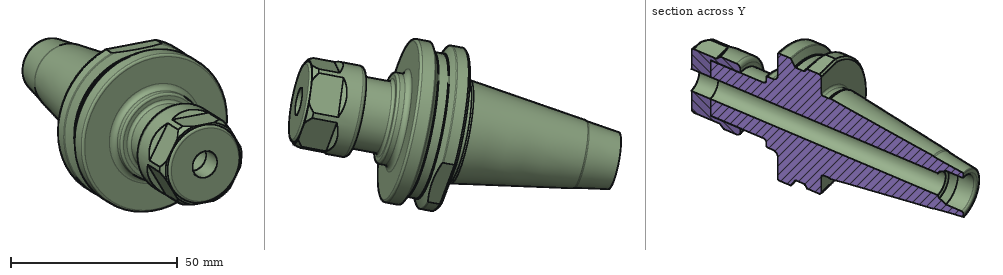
import cadquery as cq
import math


LENGTH = 97.8
TOLERANCE = 0.0001

TAPER_SLOPE = 3.5 / 24
REAR_RADIUS = 17.4 / 2
REAR_EDGE_FILLET = 0.3
PILOT_END_X = 10.5
TAPER_START_X = 11.0
TAPER_START_RADIUS = 20.9 / 2
TAPER_END_X = 47.7
RELIEF_START_X = 48.3
RELIEF_RADIUS = 31.2 / 2
RELIEF_FILLET = 0.8

FLANGE_RADIUS = 50.0 / 2
FLANGE_REAR_X = 51.1
FLANGE_FRONT_X = 66.9
FLANGE_REAR_CHAMFER = 0.7
FLANGE_FRONT_FILLET = 0.8
GROOVE_RADIUS = 44.3 / 2
GROOVE_BOTTOM_START_X = 57.1
GROOVE_BOTTOM_END_X = 60.4
GROOVE_WALL_ANGLE = 30
GROOVE_EDGE_FILLET = 0.4
GROOVE_DEPTH = FLANGE_RADIUS - GROOVE_RADIUS
GROOVE_WALL_LENGTH = GROOVE_DEPTH * math.tan(math.radians(GROOVE_WALL_ANGLE))
GROOVE_REAR_X = GROOVE_BOTTOM_START_X - GROOVE_WALL_LENGTH
GROOVE_FRONT_X = GROOVE_BOTTOM_END_X + GROOVE_WALL_LENGTH
FLAT_HEIGHT = 23.5

HUB_RADIUS = 28.0 / 2
HUB_END_X = 71.0
HUB_REAR_FILLET = 1.8
HUB_EDGE_FILLET = 0.8
NOSE_RADIUS = 22.0 / 2
NOSE_FILLET = 1.0
NOSE_END_X = 91.0

BORE_RADIUS = 8.4 / 2
SOCKET_RADIUS = 13.0 / 2
SOCKET_DEPTH = 6.4
SOCKET_MOUTH_FILLET = 0.8
NECK_RADIUS = 10.3 / 2
NECK_HALF_ANGLE = 30
BORE_ENTRY_HALF_ANGLE = 60

NUT_REAR_X = 80.2
NUT_RADIUS = HUB_RADIUS
NUT_REAR_FILLET = 1.5
NUT_CHAMFER_LENGTH = 1.8
NUT_CHAMFER_DEPTH = 1.0
NUT_RIM_RADIUS = 12.3
NUT_RIM_FILLET = 0.8
HEX_APOTHEM = 25.0 / 2
HEX_UPPER_START_X = 88.8
HEX_LOWER_START_X = 87.6
HEX_SIDES = 6
CUT_MARGIN = 1.0


def fillet_circles(body, x, radius, size):
    """Round the circular edges of the given radius centred on the axis at x."""
    edges = [
        e for e in body.edges("%CIRCLE").vals()
        if abs(e.arcCenter().x - x) < TOLERANCE and abs(e.radius() - radius) < TOLERANCE
    ]
    return body.newObject(edges).fillet(size)


def make_holder_blank():
    """Turned outside of the holder with its sharp corners."""
    pilot_end_radius = REAR_RADIUS + TAPER_SLOPE * PILOT_END_X
    taper_end_radius = TAPER_START_RADIUS + TAPER_SLOPE * (TAPER_END_X - TAPER_START_X)
    profile = [
        (0, 0),
        (0, REAR_RADIUS),
        (PILOT_END_X, pilot_end_radius),
        (TAPER_START_X, TAPER_START_RADIUS),
        (TAPER_END_X, taper_end_radius),
        (RELIEF_START_X, RELIEF_RADIUS),
        (FLANGE_REAR_X, RELIEF_RADIUS),
        (FLANGE_REAR_X, FLANGE_RADIUS),
        (GROOVE_REAR_X, FLANGE_RADIUS),
        (GROOVE_BOTTOM_START_X, GROOVE_RADIUS),
        (GROOVE_BOTTOM_END_X, GROOVE_RADIUS),
        (GROOVE_FRONT_X, FLANGE_RADIUS),
        (FLANGE_FRONT_X, FLANGE_RADIUS),
        (FLANGE_FRONT_X, HUB_RADIUS),
        (HUB_END_X, HUB_RADIUS),
        (HUB_END_X, NOSE_RADIUS),
        (NOSE_END_X, NOSE_RADIUS),
        (NOSE_END_X, 0),
    ]
    return cq.Workplane("XY").polyline(profile).close().revolve(360, (0, 0, 0), (1, 0, 0))


def round_holder(body):
    """Round the turned corners of the holder, except the rear flange edge."""
    for x, radius, size in [
        (0, REAR_RADIUS, REAR_EDGE_FILLET),
        (FLANGE_REAR_X, RELIEF_RADIUS, RELIEF_FILLET),
        (GROOVE_REAR_X, FLANGE_RADIUS, GROOVE_EDGE_FILLET),
        (GROOVE_BOTTOM_START_X, GROOVE_RADIUS, GROOVE_EDGE_FILLET),
        (GROOVE_BOTTOM_END_X, GROOVE_RADIUS, GROOVE_EDGE_FILLET),
        (GROOVE_FRONT_X, FLANGE_RADIUS, GROOVE_EDGE_FILLET),
        (FLANGE_FRONT_X, FLANGE_RADIUS, FLANGE_FRONT_FILLET),
        (FLANGE_FRONT_X, HUB_RADIUS, HUB_REAR_FILLET),
        (HUB_END_X, HUB_RADIUS, HUB_EDGE_FILLET),
        (HUB_END_X, NOSE_RADIUS, NOSE_FILLET),
    ]:
        body = fillet_circles(body, x, radius, size)
    return body


def cut_flange_flats(body):
    """Cut the top and bottom flats on the rear half of the flange, then chamfer its rear edge."""
    flat_length = GROOVE_BOTTOM_START_X - FLANGE_REAR_X
    for side in (1, -1):
        cutter = cq.Workplane("XY").box(flat_length, 2 * FLANGE_RADIUS, FLANGE_RADIUS)
        centre_x = FLANGE_REAR_X + flat_length / 2
        centre_z = side * (FLAT_HEIGHT + FLANGE_RADIUS / 2)
        body = body.cut(cutter.translate((centre_x, 0, centre_z)))
    rear_face = max(
        (f for f in body.faces("|X").vals() if abs(f.Center().x - FLANGE_REAR_X) < TOLERANCE),
        key=lambda f: f.Area(),
    )
    rim = rear_face.outerWire().Edges()
    return body.newObject(rim).chamfer(FLANGE_REAR_CHAMFER)


def make_bore():
    """Through bore: rounded mouth, socket, neck cone, entry cone and straight bore."""
    mouth_radius = SOCKET_RADIUS + SOCKET_MOUTH_FILLET
    bend = SOCKET_MOUTH_FILLET * (1 - math.sqrt(0.5))
    neck_x = SOCKET_DEPTH + (SOCKET_RADIUS - NECK_RADIUS) / math.tan(math.radians(NECK_HALF_ANGLE))
    bore_x = neck_x + (NECK_RADIUS - BORE_RADIUS) / math.tan(math.radians(BORE_ENTRY_HALF_ANGLE))
    return (
        cq.Workplane("XY")
        .lineTo(0, mouth_radius)
        .threePointArc((bend, SOCKET_RADIUS + bend), (SOCKET_MOUTH_FILLET, SOCKET_RADIUS))
        .lineTo(SOCKET_DEPTH, SOCKET_RADIUS)
        .lineTo(neck_x, NECK_RADIUS)
        .lineTo(bore_x, BORE_RADIUS)
        .lineTo(LENGTH, BORE_RADIUS)
        .lineTo(LENGTH, 0)
        .close()
        .revolve(360, (0, 0, 0), (1, 0, 0))
    )


def make_holder():
    body = round_holder(make_holder_blank())
    return cut_flange_flats(body).cut(make_bore())


def make_nut_blank():
    """Turned nut with a rounded rear edge, a front chamfer and a low rim with a rounded edge."""
    rim_x = LENGTH - NUT_RIM_FILLET
    bend = NUT_RIM_FILLET * (1 - math.sqrt(0.5))
    blank = (
        cq.Workplane("XY")
        .moveTo(NUT_REAR_X, NOSE_RADIUS)
        .lineTo(NUT_REAR_X, NUT_RADIUS)
        .lineTo(rim_x - NUT_CHAMFER_LENGTH, NUT_RADIUS)
        .lineTo(rim_x, NUT_RADIUS - NUT_CHAMFER_DEPTH)
        .lineTo(rim_x, NUT_RIM_RADIUS)
        .threePointArc(
            (LENGTH - bend, NUT_RIM_RADIUS - bend),
            (LENGTH, NUT_RIM_RADIUS - NUT_RIM_FILLET),
        )
        .lineTo(LENGTH, BORE_RADIUS)
        .lineTo(NOSE_END_X, BORE_RADIUS)
        .lineTo(NOSE_END_X, NOSE_RADIUS)
        .close()
        .revolve(360, (0, 0, 0), (1, 0, 0))
    )
    return fillet_circles(blank, NUT_REAR_X, NUT_RADIUS, NUT_REAR_FILLET)


def make_hex_cutter(start_x):
    """Cutter for a flat facing +Z that runs out at its rear end on a 45 degree bevel."""
    rise = NUT_RADIUS - HEX_APOTHEM + CUT_MARGIN
    return (
        cq.Workplane("XZ")
        .moveTo(start_x, HEX_APOTHEM)
        .lineTo(LENGTH + CUT_MARGIN, HEX_APOTHEM)
        .lineTo(LENGTH + CUT_MARGIN, HEX_APOTHEM + rise)
        .lineTo(start_x - rise, HEX_APOTHEM + rise)
        .close()
        .extrude(NUT_RADIUS, both=True)
    )


def make_nut():
    """Nut with six wrench flats; the three lower flats reach further back."""
    nut = make_nut_blank()
    for i in range(HEX_SIDES):
        angle = i * 360 / HEX_SIDES
        faces_up = math.cos(math.radians(angle)) > 0
        start_x = HEX_UPPER_START_X if faces_up else HEX_LOWER_START_X
        nut = nut.cut(make_hex_cutter(start_x).rotate((0, 0, 0), (1, 0, 0), angle))
    return nut


holder = make_holder()
nut = make_nut()

result = cq.Compound.makeCompound([holder.val(), nut.val()])